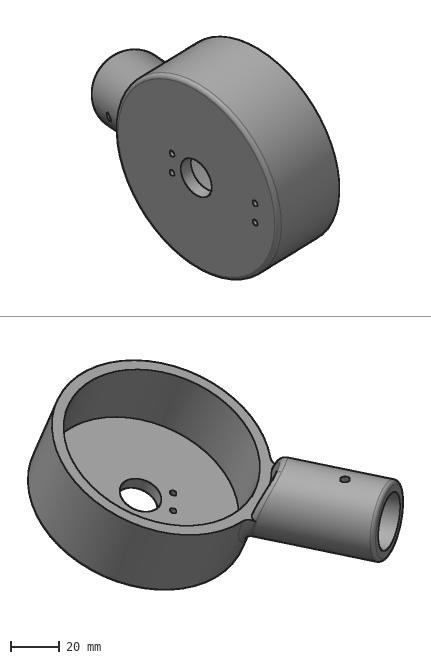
import cadquery as cq
import math

head_diameter = 95.1
head_depth = 36.4
wall = 5.0
floor_thickness = 6.0
floor_edge_round = 2.0

center_hole_diameter = 18.0
screw_hole_diameter = 2.8
screw_spacing_x = 48.5
screw_spacing_z = 10.0
screw_pattern_x = 10.1

tube_diameter = 35.0
tube_free_end = cq.Vector(-92.9, 18.4, -33.1)
tube_angle_in_xz = 22.0
tube_angle_in_xy = 22.7
tube_end_round = 1.8
tube_root_round = 5.0
tube_lip_round = 3.0
bore_depth = 44.5

cross_hole_diameter = 4.0
cross_hole_from_end = 18.9
cross_hole_tilt = 2.0

head_radius = head_diameter / 2
tube_radius = tube_diameter / 2
bore_radius = tube_radius - wall
reach = 2 * head_diameter

tube_axis = cq.Vector(
    1,
    -math.tan(math.radians(tube_angle_in_xy)),
    math.tan(math.radians(tube_angle_in_xz)),
).normalized()


def cylinder(radius, length, start, direction):
    return cq.Workplane(cq.Solid.makeCylinder(radius, length, start, direction))


def cylinder_along_y(radius, y_start, y_end, x=0.0, z=0.0):
    return cylinder(radius, y_end - y_start, cq.Vector(x, y_start, z), cq.Vector(0, 1, 0))


def make_tube():
    """Solid tube whose inner end is hollowed to follow the outside of the head."""
    tube_length = -tube_free_end.x / tube_axis.x
    tube = cylinder(tube_radius, tube_length, tube_free_end, tube_axis)
    tube = tube.faces("<X").edges().fillet(tube_end_round)
    head_envelope = cylinder_along_y(head_radius, -reach, reach)
    return tube.cut(head_envelope)


def make_head(rear_y):
    """Solid head from its rounded floor to the plane Y = rear_y."""
    head = cylinder_along_y(head_radius, -head_depth, rear_y)
    return head.faces("<Y").edges().fillet(floor_edge_round)


def make_head_with_root():
    """Head and the tube at Y < 0, with a concave blend between them.

    The head is first made taller than the tube so that the blend runs all the way round.
    """
    joined = make_head(head_depth).union(make_tube())
    joined = joined.edges("%BSPLINE").fillet(tube_root_round)
    below_rim = cq.Workplane().box(2 * reach, reach, 2 * reach).translate((0, -reach / 2, 0))
    return joined.intersect(below_rim)


def make_body():
    """Tube with its hollowed end rounded over, joined to the blended head."""
    tube = make_tube().edges("%BSPLINE").fillet(tube_lip_round)
    return tube.union(make_head_with_root())


def cut_floor_holes(body):
    body = body.cut(cylinder_along_y(center_hole_diameter / 2, -head_depth, 0))
    for side_x in (-1, 1):
        for side_z in (-1, 1):
            x = screw_pattern_x + side_x * screw_spacing_x / 2
            z = side_z * screw_spacing_z / 2
            body = body.cut(cylinder_along_y(screw_hole_diameter / 2, -head_depth, 0, x, z))
    return body


def cut_cross_hole(body):
    """Hole square to the tube axis, close to the Y direction."""
    sideways = tube_axis.cross(cq.Vector(0, 1, 0)).normalized()
    square_to_axis = sideways.cross(tube_axis)
    tilt = math.radians(cross_hole_tilt)
    direction = square_to_axis * math.cos(tilt) + sideways * math.sin(tilt)
    middle = tube_free_end + tube_axis * cross_hole_from_end
    start = middle - direction * tube_diameter
    return body.cut(cylinder(cross_hole_diameter / 2, 2 * tube_diameter, start, direction))


result = make_body()
result = result.cut(cylinder_along_y(head_radius - wall, floor_thickness - head_depth, 0))
result = result.cut(cylinder(bore_radius, bore_depth, tube_free_end, tube_axis))
result = cut_floor_holes(result)
result = cut_cross_hole(result)